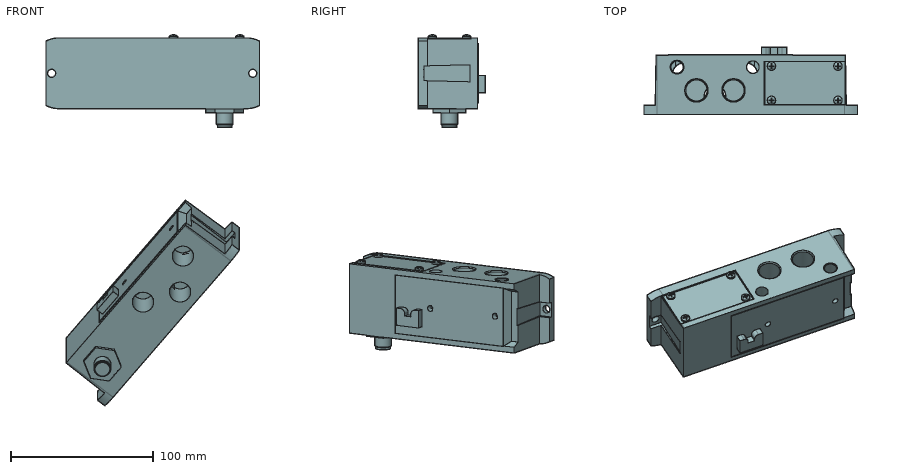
import cadquery as cq
import math

PLATE_LENGTH = 150.6
HOUSING_HEIGHT = 50.0
HOUSING_DEPTH = 42.0
PLATE_THICKNESS = 6.7
CORNER_ARC_RADIUS = 20.0
CORNER_ARC_LENGTH = 9.4
BODY_HALF_LENGTH_AT_PLATE = 67.36
END_DRAFT_ANGLE = 1.0
MID_HEIGHT = HOUSING_HEIGHT / 2

MOUNTING_HOLE_DIAMETER = 5.5
MOUNTING_HOLE_X = (-71.2, 70.4)
SLOT_BOTTOM_Y = 4.1
SLOT_BOTTOM_WIDTH = 10.4
SLOT_TOP_WIDTH = 12.0
SLOT_FLOOR_HALF_LENGTH = 66.1

PAD_HEIGHT = 0.5
PAD_WIDTH = 42.0
PAD_LEFT_X = -58.0
PAD_RIGHT_X = 29.5
RELIEF_FLOOR_Y = 36.5
RELIEF_NARROW_WIDTH = 36.0
RELIEF_SLOPE_LENGTH = 3.3

PLUG_LENGTH = 17.9
PLUG_HEIGHT = 12.4
PLUG_TOTAL_Y = 47.5
PLUG_CENTER_X = 16.4
PLUG_CENTER_Z = 17.4
PLUG_GROOVE_WIDTH = 5.0
PLUG_GROOVE_DEPTH = 5.0
PLUG_GROOVE_ROUND = 3.2

PORT_CENTER_X = -25.2
PORT_DIAMETER = 14.95
PORT_CHAMFER = 0.8
PORT_DEPTH = 26.2
TOP_PORT_SPACING = 26.1
TOP_PORT_Y = 17.1
BOTTOM_PORT_SPACING = 22.3
OUTER_BOTTOM_PORT_Y = 28.7
MIDDLE_BOTTOM_PORT_Y = 13.2
PILOT_SPACING = 53.4
PILOT_Y = 33.5
LEFT_PILOT_DIAMETER = 8.57
LEFT_PILOT_CHAMFER = 0.55
RIGHT_PILOT_DIAMETER = 8.75
BACK_HOLE_DIAMETER = 4.13
BACK_HOLE_SPACING = 52.4
BACK_HOLE_DEPTH = 12.0

COVER_LEFT_X = 9.5
COVER_RIGHT_X = 66.5
COVER_FRONT_Y = PLATE_THICKNESS
COVER_BACK_Y = 37.4
COVER_GAP = 0.4
COVER_GAP_DEPTH = 0.5
COVER_SINK = 0.3
SCREW_X = (14.6, 61.4)
SCREW_Y = (10.1, 34.2)
SCREW_DIAMETER = 6.0
SCREW_RIM_HEIGHT = 1.2
SCREW_HEIGHT = 2.51
RECESS_LENGTH = 3.6
RECESS_WIDTH = 0.5
RECESS_DEPTH = 1.0

CONNECTOR_X = 50.65
CONNECTOR_Y = 22.1
HEX_ACROSS_FLATS = 23.2
HEX_HEIGHT = 2.8
BARREL_DIAMETER = 12.0
BARREL_END = 11.4
BARREL_CHAMFER = 0.6
TIP_DIAMETER = 10.5
CONNECTOR_LENGTH = 13.0


def box(x_min, x_max, y_min, y_max, z_min, z_max):
    """Box given by its limits along each axis."""
    size = (x_max - x_min, y_max - y_min, z_max - z_min)
    return cq.Workplane("XY").box(*size, centered=False).translate((x_min, y_min, z_min))


def cylinder_up(x, y, z, diameter, height):
    """Cylinder standing on (x, y, z) along +Z."""
    return cq.Workplane("XY", origin=(x, y, z)).circle(diameter / 2).extrude(height)


def cylinder_back(x, y, z, diameter, length):
    """Cylinder starting at (x, y, z) along +Y."""
    return cq.Workplane("XZ", origin=(x, y, z)).circle(diameter / 2).extrude(-length)


def make_housing():
    """Rounded outline, narrowed behind the mounting plate to a body with drafted ends."""
    half = PLATE_LENGTH / 2
    tangent_x = half - CORNER_ARC_LENGTH
    drop = CORNER_ARC_RADIUS - math.sqrt(CORNER_ARC_RADIUS**2 - CORNER_ARC_LENGTH**2)
    low_z = drop
    high_z = HOUSING_HEIGHT - drop
    outline = (
        cq.Workplane("XZ")
        .moveTo(-tangent_x, 0)
        .lineTo(tangent_x, 0)
        .radiusArc((half, low_z), -CORNER_ARC_RADIUS)
        .lineTo(half, high_z)
        .radiusArc((tangent_x, HOUSING_HEIGHT), -CORNER_ARC_RADIUS)
        .lineTo(-tangent_x, HOUSING_HEIGHT)
        .radiusArc((-half, high_z), -CORNER_ARC_RADIUS)
        .lineTo(-half, low_z)
        .radiusArc((-tangent_x, 0), -CORNER_ARC_RADIUS)
        .close()
        .extrude(-HOUSING_DEPTH)
    )
    taper = (HOUSING_DEPTH - PLATE_THICKNESS) * math.tan(math.radians(END_DRAFT_ANGLE))
    back_half = BODY_HALF_LENGTH_AT_PLATE - taper
    footprint = (
        cq.Workplane("XY")
        .polyline([
            (-half, 0),
            (half, 0),
            (half, PLATE_THICKNESS),
            (BODY_HALF_LENGTH_AT_PLATE, PLATE_THICKNESS),
            (back_half, HOUSING_DEPTH),
            (-back_half, HOUSING_DEPTH),
            (-BODY_HALF_LENGTH_AT_PLATE, PLATE_THICKNESS),
            (-half, PLATE_THICKNESS),
        ])
        .close()
        .extrude(HOUSING_HEIGHT)
    )
    return outline.intersect(footprint)


def make_pad():
    """Thin raised pad on the back of the housing."""
    half_width = PAD_WIDTH / 2
    back_y = HOUSING_DEPTH + PAD_HEIGHT
    return box(PAD_LEFT_X, PAD_RIGHT_X, HOUSING_DEPTH - PAD_HEIGHT, back_y,
               MID_HEIGHT - half_width, MID_HEIGHT + half_width)


def make_relief():
    """Relief from the left end to the pad: flat floor, sloped end and side walls that open outward."""
    back_y = HOUSING_DEPTH + PAD_HEIGHT
    end_x = -BODY_HALF_LENGTH_AT_PLATE
    slope_start_x = PAD_LEFT_X - RELIEF_SLOPE_LENGTH
    length_profile = (
        cq.Workplane("XY")
        .polyline([
            (end_x, RELIEF_FLOOR_Y),
            (slope_start_x, RELIEF_FLOOR_Y),
            (PAD_LEFT_X, back_y),
            (end_x, back_y),
        ])
        .close()
        .extrude(HOUSING_HEIGHT)
    )
    walls = (
        cq.Workplane("YZ", origin=(end_x, 0, MID_HEIGHT))
        .polyline([
            (RELIEF_FLOOR_Y, -RELIEF_NARROW_WIDTH / 2),
            (back_y, -PAD_WIDTH / 2),
            (back_y, PAD_WIDTH / 2),
            (RELIEF_FLOOR_Y, RELIEF_NARROW_WIDTH / 2),
        ])
        .close()
        .extrude(PAD_LEFT_X - end_x)
    )
    return length_profile.intersect(walls)


def make_end_slot(side):
    """Screw slot in one end (side is -1 for left, +1 for right), sunk into the plate and open outward."""
    slot = (
        cq.Workplane("YZ", origin=(SLOT_FLOOR_HALF_LENGTH, 0, MID_HEIGHT))
        .polyline([
            (SLOT_BOTTOM_Y, -SLOT_BOTTOM_WIDTH / 2),
            (RELIEF_FLOOR_Y, -SLOT_TOP_WIDTH / 2),
            (RELIEF_FLOOR_Y, SLOT_TOP_WIDTH / 2),
            (SLOT_BOTTOM_Y, SLOT_BOTTOM_WIDTH / 2),
        ])
        .close()
        .extrude(PLATE_LENGTH / 2 - SLOT_FLOOR_HALF_LENGTH)
    )
    return slot if side > 0 else slot.mirror("YZ")


def make_plug():
    """Plug block on the back, with a round-shouldered groove along its top."""
    half_length = PLUG_LENGTH / 2
    half_height = PLUG_HEIGHT / 2
    half_groove = PLUG_GROOVE_WIDTH / 2
    shoulder = half_groove + PLUG_GROOVE_ROUND
    round_z = half_height - PLUG_GROOVE_ROUND
    floor_z = half_height - PLUG_GROOVE_DEPTH
    return (
        cq.Workplane("XZ", origin=(PLUG_CENTER_X, HOUSING_DEPTH, PLUG_CENTER_Z))
        .moveTo(-half_length, -half_height)
        .lineTo(half_length, -half_height)
        .lineTo(half_length, half_height)
        .lineTo(shoulder, half_height)
        .radiusArc((half_groove, round_z), -PLUG_GROOVE_ROUND)
        .lineTo(half_groove, floor_z)
        .lineTo(-half_groove, floor_z)
        .lineTo(-half_groove, round_z)
        .radiusArc((-shoulder, half_height), -PLUG_GROOVE_ROUND)
        .lineTo(-half_length, half_height)
        .close()
        .extrude(HOUSING_DEPTH - PLUG_TOTAL_Y)
    )


def make_top_hole(x, y, diameter, chamfer=0):
    """Blind hole down from the top face, with an optional 45 degree chamfer at its mouth."""
    floor_z = HOUSING_HEIGHT - PORT_DEPTH
    radius = diameter / 2
    hole = cylinder_up(x, y, floor_z, diameter, PORT_DEPTH)
    if chamfer:
        mouth = cq.Solid.makeCone(radius, radius + chamfer, chamfer).translate(
            cq.Vector(x, y, HOUSING_HEIGHT - chamfer))
        hole = hole.union(cq.Workplane(mouth))
    return hole


def cut_ports(body):
    """Top ports and pilots, bottom ports and the tapped holes in the back."""
    for side in (-1, 1):
        top_x = PORT_CENTER_X + side * TOP_PORT_SPACING / 2
        body = body.cut(make_top_hole(top_x, TOP_PORT_Y, PORT_DIAMETER, PORT_CHAMFER))
        bottom_x = PORT_CENTER_X + side * BOTTOM_PORT_SPACING
        body = body.cut(cylinder_up(bottom_x, OUTER_BOTTOM_PORT_Y, 0, PORT_DIAMETER, PORT_DEPTH))
        back_x = PORT_CENTER_X + side * BACK_HOLE_SPACING / 2
        back_start = HOUSING_DEPTH + PAD_HEIGHT - BACK_HOLE_DEPTH
        body = body.cut(cylinder_back(back_x, back_start, MID_HEIGHT, BACK_HOLE_DIAMETER, BACK_HOLE_DEPTH))
    body = body.cut(cylinder_up(PORT_CENTER_X, MIDDLE_BOTTOM_PORT_Y, 0, PORT_DIAMETER, PORT_DEPTH))
    left_x = PORT_CENTER_X - PILOT_SPACING / 2
    right_x = PORT_CENTER_X + PILOT_SPACING / 2
    body = body.cut(make_top_hole(left_x, PILOT_Y, LEFT_PILOT_DIAMETER, LEFT_PILOT_CHAMFER))
    return body.cut(make_top_hole(right_x, PILOT_Y, RIGHT_PILOT_DIAMETER))


def cut_cover_seat(body):
    """Shallow seat for the cover, open at the right end, with a gap on three sides."""
    cover_z = HOUSING_HEIGHT - COVER_SINK
    gap_z = cover_z - COVER_GAP_DEPTH
    inner_x = COVER_LEFT_X + COVER_GAP
    inner_y = COVER_FRONT_Y + COVER_GAP
    end_x = BODY_HALF_LENGTH_AT_PLATE
    seat = box(COVER_LEFT_X, end_x, COVER_FRONT_Y, COVER_BACK_Y, cover_z, HOUSING_HEIGHT)
    left_gap = box(COVER_LEFT_X, inner_x, COVER_FRONT_Y, COVER_BACK_Y, gap_z, cover_z)
    front_gap = box(COVER_LEFT_X, end_x, COVER_FRONT_Y, inner_y, gap_z, cover_z)
    right_gap = box(COVER_RIGHT_X, end_x, COVER_FRONT_Y, COVER_BACK_Y, gap_z, cover_z)
    return body.cut(seat).cut(left_gap).cut(front_gap).cut(right_gap)


def make_screw(x, y):
    """Domed screw head with a cross recess."""
    radius = SCREW_DIAMETER / 2
    dome = SCREW_HEIGHT - SCREW_RIM_HEIGHT
    dome_radius = (radius**2 + dome**2) / (2 * dome)
    head = (
        cq.Workplane("XZ")
        .lineTo(radius, 0)
        .lineTo(radius, SCREW_RIM_HEIGHT)
        .radiusArc((0, SCREW_HEIGHT), -dome_radius)
        .close()
        .revolve(360, (0, 0, 0), (0, 1, 0))
    )
    for length, width in ((RECESS_LENGTH, RECESS_WIDTH), (RECESS_WIDTH, RECESS_LENGTH)):
        head = head.cut(box(-length / 2, length / 2, -width / 2, width / 2,
                            SCREW_HEIGHT - RECESS_DEPTH, SCREW_HEIGHT))
    return head.translate((x, y, HOUSING_HEIGHT - COVER_SINK))


def make_connector():
    """Hexagon flange, chamfered barrel and thinner tip pointing down."""
    down = cq.Workplane("XY", origin=(CONNECTOR_X, CONNECTOR_Y, 0))
    across_corners = HEX_ACROSS_FLATS / math.cos(math.pi / 6)
    flange = down.polygon(6, across_corners).extrude(-HEX_HEIGHT)
    barrel = down.circle(BARREL_DIAMETER / 2).extrude(-BARREL_END).faces("<Z").chamfer(BARREL_CHAMFER)
    tip = down.circle(TIP_DIAMETER / 2).extrude(-CONNECTOR_LENGTH)
    return flange.union(barrel).union(tip)


result = make_housing().union(make_pad()).cut(make_relief())
for end_side, hole_x in zip((-1, 1), MOUNTING_HOLE_X):
    result = result.cut(make_end_slot(end_side))
    result = result.cut(cylinder_back(hole_x, 0, MID_HEIGHT, MOUNTING_HOLE_DIAMETER, PLATE_THICKNESS))
result = cut_cover_seat(cut_ports(result))
for screw_x in SCREW_X:
    for screw_y in SCREW_Y:
        result = result.union(make_screw(screw_x, screw_y))
result = result.union(make_plug()).union(make_connector())